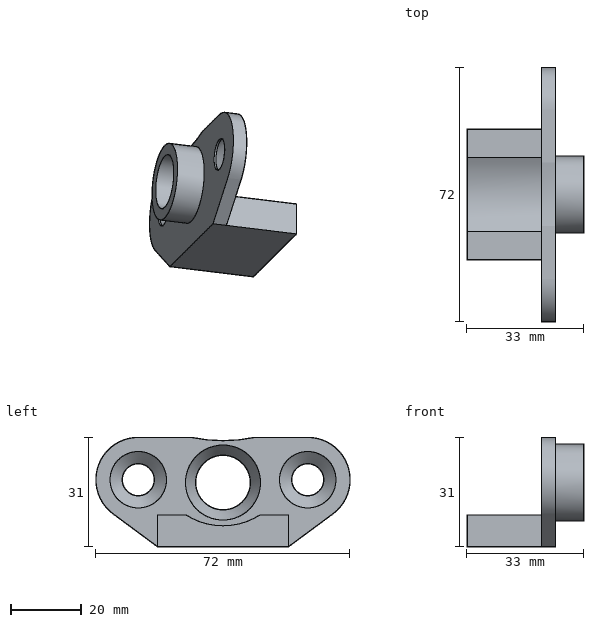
import cadquery as cq
import math

plate_length = 71.95
plate_height = 31.0
plate_thickness = 4.0
end_radius = 12.0
ear_y = plate_length / 2 - end_radius
ear_z = plate_height - end_radius
top_dip_width = 18.0
top_dip_depth = 0.9

ledge_length = 21.0
ledge_width = 37.0
ledge_height = 9.1
saddle_width = 21.0
saddle_depth = 3.1

boss_diameter = 21.9
boss_length = 8.0
bore_z = 18.2

bore_diameter = 15.4
bore_countersink_diameter = 21.2
screw_diameter = 9.0
screw_countersink_diameter = 16.0
bore_countersink_angle = 60.0
screw_countersink_angle = 90.0


def make_plate():
    """Plate with round ears, sloping lower flanks and a shallow dip in its top edge."""
    foot_y = ledge_width / 2
    foot_distance = math.hypot(ear_y - foot_y, ear_z)
    foot_direction = math.atan2(-ear_z, foot_y - ear_y)
    tangent_angle = foot_direction + math.acos(end_radius / foot_distance)
    tangent_y = ear_y + end_radius * math.cos(tangent_angle)
    tangent_z = ear_z + end_radius * math.sin(tangent_angle)
    middle_angle = (tangent_angle + math.pi / 2) / 2
    middle_y = ear_y + end_radius * math.cos(middle_angle)
    middle_z = ear_z + end_radius * math.sin(middle_angle)
    return (
        cq.Workplane("YZ")
        .moveTo(-foot_y, 0)
        .lineTo(foot_y, 0)
        .lineTo(tangent_y, tangent_z)
        .threePointArc((middle_y, middle_z), (ear_y, plate_height))
        .lineTo(top_dip_width / 2, plate_height)
        .threePointArc((0, plate_height - top_dip_depth), (-top_dip_width / 2, plate_height))
        .lineTo(-ear_y, plate_height)
        .threePointArc((-middle_y, middle_z), (-tangent_y, tangent_z))
        .close()
        .extrude(plate_thickness)
    )


def make_ledge():
    """Block with a circular-arc saddle running along X."""
    half_width = ledge_width / 2
    return (
        cq.Workplane("YZ")
        .moveTo(-half_width, 0)
        .lineTo(half_width, 0)
        .lineTo(half_width, ledge_height)
        .lineTo(saddle_width / 2, ledge_height)
        .threePointArc((0, ledge_height - saddle_depth), (-saddle_width / 2, ledge_height))
        .lineTo(-half_width, ledge_height)
        .close()
        .extrude(-ledge_length)
    )


def make_boss():
    """Round boss standing on the back face of the plate."""
    return (
        cq.Workplane("YZ", origin=(plate_thickness, 0, bore_z))
        .circle(boss_diameter / 2)
        .extrude(boss_length)
    )


def make_hole_cutter(y, z, diameter, countersink_diameter, countersink_angle):
    """Through hole along X with a conical mouth at the front face."""
    radius = diameter / 2
    mouth_radius = countersink_diameter / 2
    cone_depth = (mouth_radius - radius) / math.tan(math.radians(countersink_angle / 2))
    cone = cq.Solid.makeCone(mouth_radius, radius, cone_depth, cq.Vector(0, y, z), cq.Vector(1, 0, 0))
    hole_length = plate_thickness + boss_length
    hole = cq.Workplane("YZ", origin=(0, y, z)).circle(radius).extrude(hole_length)
    return hole.union(cq.Workplane(cone))


result = make_plate().union(make_ledge()).union(make_boss())
result = result.cut(
    make_hole_cutter(0, bore_z, bore_diameter, bore_countersink_diameter, bore_countersink_angle)
)
for side in (-1, 1):
    screw_hole = make_hole_cutter(
        side * ear_y, ear_z, screw_diameter, screw_countersink_diameter, screw_countersink_angle
    )
    result = result.cut(screw_hole)